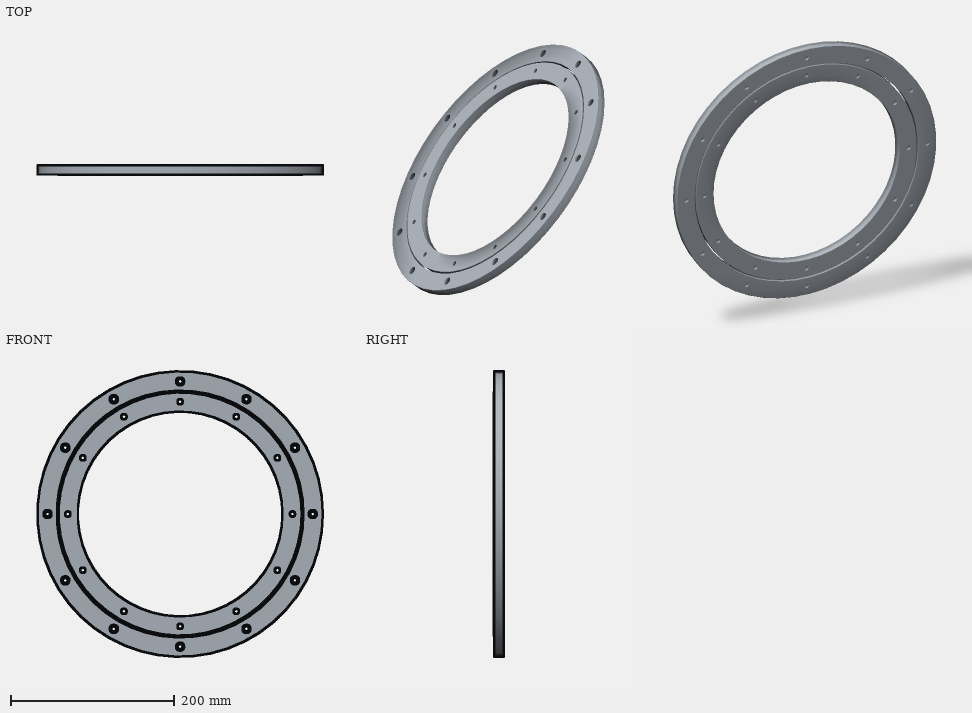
import cadquery as cq

outer_diameter = 350.0
bore_diameter = 250.2
overall_depth = 12.5
ring_offset = 0.6
ring_thickness = overall_depth - ring_offset

gap_mid_diameter = 300.0
gap_width = 1.8
outer_ring_inner_diameter = gap_mid_diameter + gap_width
inner_ring_outer_diameter = gap_mid_diameter - gap_width

outer_edge_chamfer = 0.5
gap_edge_chamfer = 0.42
bore_edge_chamfer = 0.42

hole_count = 12
outer_bolt_circle_diameter = 324.8
outer_hole_diameter = 6.0
counterbore_diameter = 10.0
counterbore_depth = 5.5
inner_bolt_circle_diameter = 275.0
inner_hole_diameter = 6.0
inner_hole_chamfer = 0.5
inner_hole_mouth_diameter = inner_hole_diameter + 2 * inner_hole_chamfer
countersink_angle = 90


def chamfered_disc(diameter, back_y, chamfer):
    """Disc reaching forward from back_y by one ring thickness, both rims chamfered."""
    disc = cq.Workplane("XZ", origin=(0, back_y, 0)).circle(diameter / 2).extrude(ring_thickness)
    return disc.edges().chamfer(chamfer)


def flat_ring(outside_diameter, inside_diameter, back_y, outside_chamfer, inside_chamfer):
    """Ring with chamfers on its outside and inside edges."""
    disc = chamfered_disc(outside_diameter, back_y, outside_chamfer)
    ring = disc.faces("<Y").workplane(origin=(0, 0, 0)).circle(inside_diameter / 2).cutThruAll()
    inside_edges = ring.edges(cq.selectors.RadiusNthSelector(0))
    return inside_edges.chamfer(inside_chamfer)


def hole_centres(ring, bolt_circle_diameter):
    """Evenly spaced hole centres on the front (-Y) face of a ring."""
    front_plane = ring.faces("<Y").workplane(origin=(0, 0, 0))
    return front_plane.polarArray(bolt_circle_diameter / 2, 0, 360, hole_count)


def make_outer_ring():
    """Outer ring with through holes counterbored from the front."""
    ring = flat_ring(
        outer_diameter,
        outer_ring_inner_diameter,
        overall_depth / 2,
        outer_edge_chamfer,
        gap_edge_chamfer,
    )
    centres = hole_centres(ring, outer_bolt_circle_diameter)
    return centres.cboreHole(outer_hole_diameter, counterbore_diameter, counterbore_depth)


def make_inner_ring():
    """Inner ring with through holes chamfered at the front."""
    ring = flat_ring(
        inner_ring_outer_diameter,
        bore_diameter,
        overall_depth / 2 - ring_offset,
        gap_edge_chamfer,
        bore_edge_chamfer,
    )
    centres = hole_centres(ring, inner_bolt_circle_diameter)
    return centres.cskHole(inner_hole_diameter, inner_hole_mouth_diameter, countersink_angle)


outer_ring = make_outer_ring()
inner_ring = make_inner_ring()

result = cq.Compound.makeCompound([outer_ring.val(), inner_ring.val()])